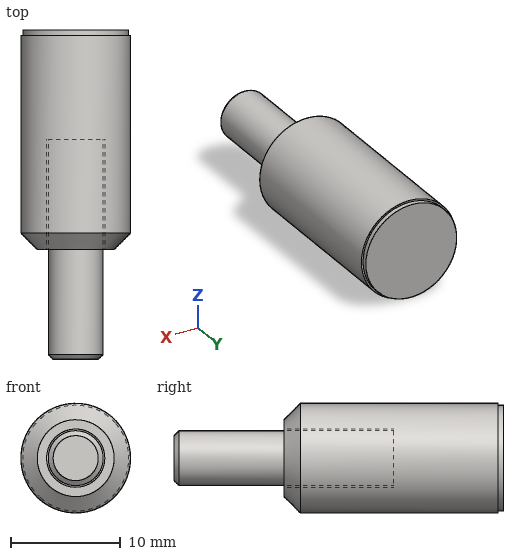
import cadquery as cq

housing_diameter = 10.0
housing_length = 20.0
pin_diameter = 5.0
pin_protrusion = 10.0

nose_chamfer = 1.5
rear_step_diameter = 9.65
rear_step_length = 0.5

bore_clearance = 0.15
bore_diameter = pin_diameter + 2 * bore_clearance
bore_depth = 10.0

tip_chamfer = 0.45

total_length = housing_length + pin_protrusion
tip_y = -total_length / 2
nose_y = tip_y + pin_protrusion
rear_y = nose_y + housing_length
bore_floor_y = nose_y + bore_depth


def turn(profile):
    """Revolve a closed (radius, y) profile about the Y axis."""
    return cq.Workplane("XY").polyline(profile).close().revolve(360, (0, 0, 0), (0, 1, 0))


def make_housing():
    """Cylinder with a chamfered nose, a blind bore and a small rear step."""
    outer_radius = housing_diameter / 2
    bore_radius = bore_diameter / 2
    step_radius = rear_step_diameter / 2
    step_y = rear_y - rear_step_length
    return turn([
        (0, bore_floor_y),
        (bore_radius, bore_floor_y),
        (bore_radius, nose_y),
        (outer_radius - nose_chamfer, nose_y),
        (outer_radius, nose_y + nose_chamfer),
        (outer_radius, step_y),
        (step_radius, step_y),
        (step_radius, rear_y),
        (0, rear_y),
    ])


def make_pin():
    """Round pin with a chamfered tip, seated on the floor of the bore."""
    radius = pin_diameter / 2
    return turn([
        (0, tip_y),
        (radius - tip_chamfer, tip_y),
        (radius, tip_y + tip_chamfer),
        (radius, bore_floor_y),
        (0, bore_floor_y),
    ])


housing = make_housing()
pin = make_pin()

result = cq.Compound.makeCompound([housing.val(), pin.val()])